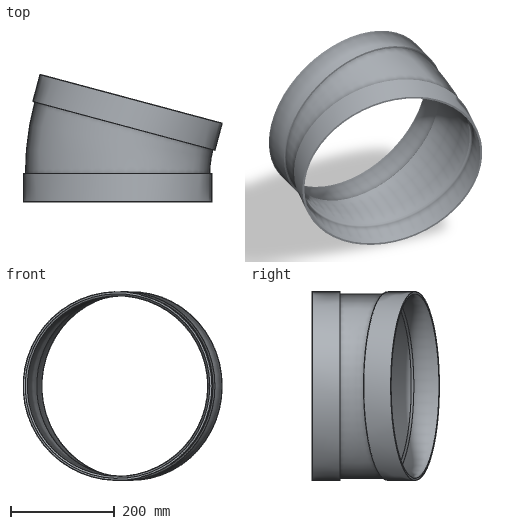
import cadquery as cq
import math

socket_outer_diameter = 363.0
pipe_outer_diameter = 355.0
wall = (socket_outer_diameter - pipe_outer_diameter) / 2
socket_length = 54.0
shoulder_length = wall
bend_radius = 355.0
bend_angle = 15

pipe_bore_diameter = pipe_outer_diameter - 2 * wall
socket_bore_diameter = socket_outer_diameter - 2 * wall
socket_depth = socket_length - shoulder_length


def cylinder(plane, diameter, length):
    """Cylinder standing on the plane, along its normal."""
    return cq.Workplane(plane).circle(diameter / 2).extrude(length)


def socket_bore(plane):
    """Socket bore that tapers down to the pipe bore over the shoulder."""
    straight = cylinder(plane, socket_bore_diameter, socket_depth)
    shoulder = (
        cq.Workplane(plane)
        .workplane(offset=socket_depth)
        .circle(socket_bore_diameter / 2)
        .workplane(offset=shoulder_length)
        .circle(pipe_bore_diameter / 2)
        .loft()
    )
    return straight.union(shoulder)


def bend(plane, diameter):
    """Round bar swept from the plane around the bend, turning towards +X."""
    axis_start = (bend_radius, 0)
    axis_end = (bend_radius, -4)
    return cq.Workplane(plane).circle(diameter / 2).revolve(bend_angle, axis_end, axis_start)


angle = math.radians(bend_angle)
axis_direction = (math.sin(angle), math.cos(angle))
front_mouth = cq.Plane(origin=(0, 0, 0), xDir=(1, 0, 0), normal=(0, 1, 0))
bend_start = cq.Plane(origin=(0, socket_length, 0), xDir=(1, 0, 0), normal=(0, 1, 0))
rear_mouth = cq.Plane(
    origin=(
        bend_radius * (1 - math.cos(angle)) + socket_length * axis_direction[0],
        socket_length + bend_radius * math.sin(angle) + socket_length * axis_direction[1],
        0,
    ),
    xDir=(axis_direction[1], -axis_direction[0], 0),
    normal=(-axis_direction[0], -axis_direction[1], 0),
)

body = bend(bend_start, pipe_outer_diameter)
bore = bend(bend_start, pipe_bore_diameter)
for mouth in (front_mouth, rear_mouth):
    body = body.union(cylinder(mouth, socket_outer_diameter, socket_length))
    bore = bore.union(socket_bore(mouth))

result = body.cut(bore)